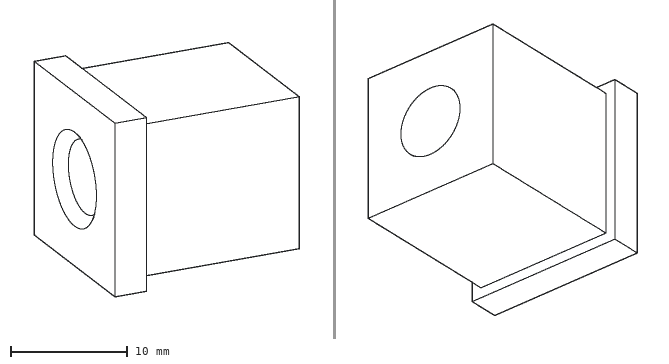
import cadquery as cq

total_length = 18.0
flange_side = 16.0
flange_thickness = 3.0
body_side = 14.0
bore_diameter = 6.65
chamfer_size = 1.0

front_y = -total_length / 2


def square_block(side, start_y, length):
    """Square prism centred on the Y axis, running toward +Y from start_y."""
    return (
        cq.Workplane("XY")
        .box(side, length, side, centered=(True, False, True))
        .translate((0, start_y, 0))
    )


flange = square_block(flange_side, front_y, flange_thickness)
body = square_block(body_side, front_y + flange_thickness, total_length - flange_thickness)

bore_radius = bore_diameter / 2
bore = (
    cq.Workplane("XY")
    .moveTo(0, front_y)
    .lineTo(bore_radius + chamfer_size, front_y)
    .lineTo(bore_radius, front_y + chamfer_size)
    .lineTo(bore_radius, front_y + total_length)
    .lineTo(0, front_y + total_length)
    .close()
    .revolve(360, (0, 0, 0), (0, 1, 0))
)

result = flange.union(body).cut(bore)